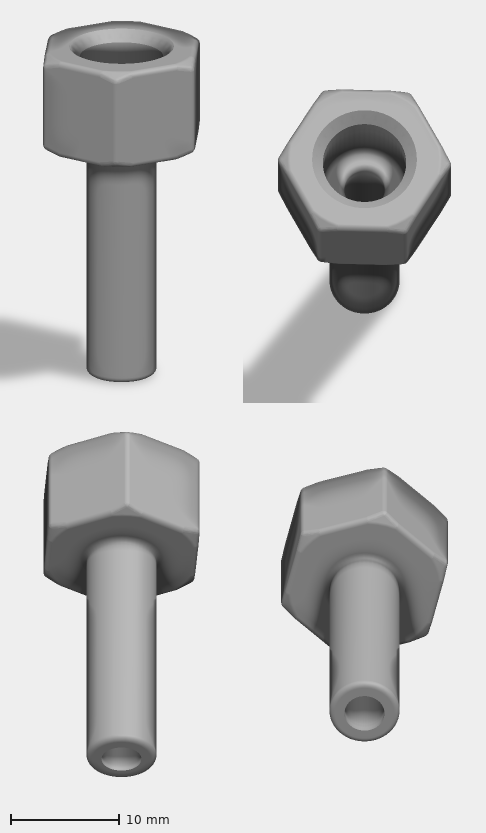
import cadquery as cq
import math

total_length = 32.0
head_height = 9.38
across_flats = 14.0
edge_radius = 0.5
stem_diameter = 6.5
bore_diameter = 7.7
bore_depth = 7.5
hole_diameter = 3.7
countersink_depth = 1.0
hex_sides = 6
flat_clearance = 0.03
corner_chamfer_angle = 30.0

head_bottom = total_length - head_height
bore_floor = total_length - bore_depth
across_corners = across_flats / math.cos(math.pi / hex_sides)
corner_chamfer_diameter = across_flats + flat_clearance
arc_middle = edge_radius * (1 - math.sqrt(0.5))


def make_head():
    """Hexagonal head with conically chamfered corners and all outer edges rounded."""
    prism = (
        cq.Workplane("XY")
        .workplane(offset=head_bottom)
        .polygon(hex_sides, across_corners)
        .extrude(head_height)
    )
    face_radius = corner_chamfer_diameter / 2
    envelope_radius = across_corners / 2 + edge_radius
    cone_drop = (envelope_radius - face_radius) * math.tan(math.radians(corner_chamfer_angle))
    corner_envelope = (
        cq.Workplane("XZ")
        .moveTo(0, head_bottom)
        .lineTo(face_radius, head_bottom)
        .lineTo(envelope_radius, head_bottom + cone_drop)
        .lineTo(envelope_radius, total_length - cone_drop)
        .lineTo(face_radius, total_length)
        .lineTo(0, total_length)
        .close()
        .revolve(360, (0, 0), (0, 1))
    )
    return prism.intersect(corner_envelope).edges().fillet(edge_radius)


def make_stem():
    """Round stem, rounded at its free end and flared into the underside of the head."""
    radius = stem_diameter / 2
    return (
        cq.Workplane("XZ")
        .lineTo(radius - edge_radius, 0)
        .threePointArc((radius - arc_middle, arc_middle), (radius, edge_radius))
        .lineTo(radius, head_bottom - edge_radius)
        .threePointArc(
            (radius + arc_middle, head_bottom - arc_middle),
            (radius + edge_radius, head_bottom),
        )
        .lineTo(0, head_bottom)
        .close()
        .revolve(360, (0, 0), (0, 1))
    )


def make_cavity():
    """Through hole with a rounded mouth, opening into a countersunk bore with a rounded floor."""
    hole_radius = hole_diameter / 2
    bore_radius = bore_diameter / 2
    return (
        cq.Workplane("XZ")
        .lineTo(hole_radius, 0)
        .lineTo(hole_radius, bore_floor - edge_radius)
        .threePointArc(
            (hole_radius + arc_middle, bore_floor - arc_middle),
            (hole_radius + edge_radius, bore_floor),
        )
        .lineTo(bore_radius - edge_radius, bore_floor)
        .threePointArc(
            (bore_radius - arc_middle, bore_floor + arc_middle),
            (bore_radius, bore_floor + edge_radius),
        )
        .lineTo(bore_radius, total_length - countersink_depth)
        .lineTo(bore_radius + countersink_depth, total_length)
        .lineTo(0, total_length)
        .close()
        .revolve(360, (0, 0), (0, 1))
    )


result = make_head().union(make_stem()).cut(make_cavity())